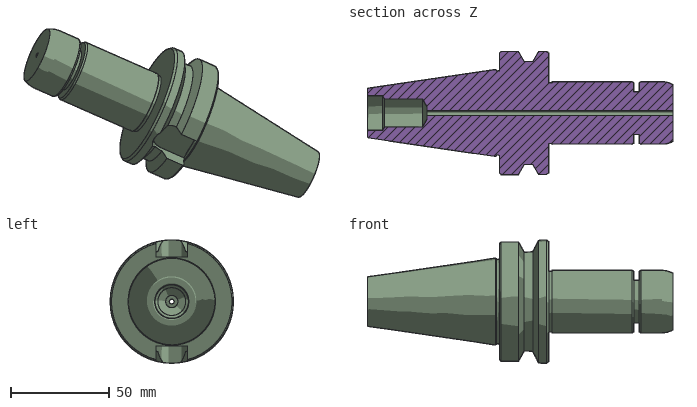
import cadquery as cq
import math

total_length = 155.8

taper_small_radius = 12.8
taper_large_radius = 22.3
taper_length = 65.3
taper_tip_round = 0.6
undercut_start = 65.8
collar_radius = 22.0
undercut_depth = 0.5

flange_start = 67.3
flange_end = 92.5
flange_radius = 31.5
flange_front_chamfer = 0.8
flange_back_chamfer_length = 1.2
flange_back_chamfer_depth = 1.0
groove_floor_radius = 26.5
groove_floor_start = 80.0
groove_floor_end = 84.3
groove_angle = math.radians(60)
groove_side_length = (flange_radius - groove_floor_radius) / math.tan(groove_angle)

body_radius = 16.0
body_start = 94.1
body_end = 135.9
body_relief_radius = 15.6
edge_chamfer = 1.0
edge_chamfer_depth = 0.6
neck_diameter = 22.0
nut_start = 138.5
nut_crown_start = 150.2
nut_face_radius = 14.5

slot_width = 16.0
slot_floor = 22.6
slot_end = 88.5

counterbore_radius = 8.7
mouth_round = 0.8
counterbore_depth = 7.8
thread_entry_diameter = 17.0
thread_entry_length = 1.0
thread_end = 28.0
thread_hole_diameter = 14.2
cone_end_radius = 3.1
cone_half_angle = math.radians(60)
through_hole_diameter = 2.3


def crown_height(x):
    """Nut radius along the crown, an arc tangent to the nut cylinder."""
    length = total_length - nut_crown_start
    drop = body_radius - nut_face_radius
    arc_radius = (length**2 + drop**2) / (2 * drop)
    return body_radius - arc_radius + math.sqrt(arc_radius**2 - (x - nut_crown_start) ** 2)


def make_body():
    groove_start = groove_floor_start - groove_side_length
    groove_end = groove_floor_end + groove_side_length
    undercut_middle = (undercut_start + flange_start) / 2
    crown_middle = (nut_crown_start + total_length) / 2
    profile = (
        cq.Workplane("XY")
        .moveTo(0, 0)
        .lineTo(0, taper_small_radius - taper_tip_round)
        .radiusArc((taper_tip_round, taper_small_radius), taper_tip_round)
        .lineTo(taper_length, taper_large_radius)
        .lineTo(taper_length, collar_radius)
        .lineTo(undercut_start, collar_radius)
        .threePointArc((undercut_middle, collar_radius - undercut_depth), (flange_start, collar_radius))
        .lineTo(flange_start, flange_radius - flange_front_chamfer)
        .lineTo(flange_start + flange_front_chamfer, flange_radius)
        .lineTo(groove_start, flange_radius)
        .lineTo(groove_floor_start, groove_floor_radius)
        .lineTo(groove_floor_end, groove_floor_radius)
        .lineTo(groove_end, flange_radius)
        .lineTo(flange_end - flange_back_chamfer_length, flange_radius)
        .lineTo(flange_end, flange_radius - flange_back_chamfer_depth)
        .lineTo(flange_end, body_relief_radius)
        .lineTo(body_start, body_relief_radius)
        .lineTo(body_start, body_radius)
        .lineTo(body_end - edge_chamfer, body_radius)
        .lineTo(body_end, body_radius - edge_chamfer_depth)
        .lineTo(body_end, neck_diameter / 2)
        .lineTo(nut_start, neck_diameter / 2)
        .lineTo(nut_start, body_radius - edge_chamfer_depth)
        .lineTo(nut_start + edge_chamfer, body_radius)
        .lineTo(nut_crown_start, body_radius)
        .threePointArc((crown_middle, crown_height(crown_middle)), (total_length, nut_face_radius))
        .lineTo(total_length, 0)
        .close()
    )
    return profile.revolve(360, (0, 0, 0), (1, 0, 0))


def make_slot():
    radius = slot_width / 2
    center = slot_end - radius
    return (
        cq.Workplane("XY")
        .workplane(offset=slot_floor)
        .moveTo(flange_start, -radius)
        .lineTo(center, -radius)
        .threePointArc((slot_end, 0), (center, radius))
        .lineTo(flange_start, radius)
        .close()
        .extrude(flange_radius)
    )


def make_bore():
    thread_hole_radius = thread_hole_diameter / 2
    cone_end = thread_end + (thread_hole_radius - cone_end_radius) / math.tan(cone_half_angle)
    profile = (
        cq.Workplane("XY")
        .moveTo(0, 0)
        .lineTo(0, counterbore_radius + mouth_round)
        .radiusArc((mouth_round, counterbore_radius), -mouth_round)
        .lineTo(counterbore_depth, counterbore_radius)
        .lineTo(counterbore_depth, thread_entry_diameter / 2)
        .lineTo(counterbore_depth + thread_entry_length, thread_hole_radius)
        .lineTo(thread_end, thread_hole_radius)
        .lineTo(cone_end, cone_end_radius)
        .lineTo(cone_end, through_hole_diameter / 2)
        .lineTo(total_length, through_hole_diameter / 2)
        .lineTo(total_length, 0)
        .close()
    )
    return profile.revolve(360, (0, 0, 0), (1, 0, 0))


slot = make_slot()
result = make_body().cut(slot).cut(slot.mirror("XY")).cut(make_bore())